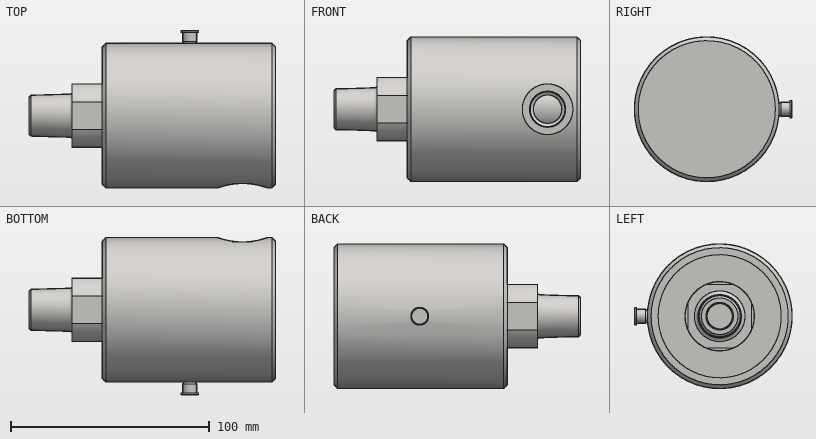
import cadquery as cq
import math

OVERALL_LENGTH = 124.38

BODY_DIAMETER = 73.0
BODY_START = 36.9
BODY_CHAMFER = 1.95

FACE_RECESS_DIAMETER = 62.05
FACE_RECESS_DEPTH = 2.0
CLEARANCE_DIAMETER = 35.0
CLEARANCE_DEPTH = 0.5
RECESS_FLOOR = BODY_START + FACE_RECESS_DEPTH
CLEARANCE_FLOOR = RECESS_FLOOR + CLEARANCE_DEPTH

COLLAR_DIAMETER = 34.8
COLLAR_FLATS = 32.0
COLLAR_START = 21.75

NIPPLE_TIP_DIAMETER = 20.7
NIPPLE_ROOT_DIAMETER = 21.8
NIPPLE_ROOT = 20.0
NIPPLE_CHAMFER_LENGTH = 1.0
NIPPLE_CHAMFER_HEIGHT = 1.15
NECK_FILLET = 2.6
NECK_RELIEF_DIAMETER = 25.5

BORE_DIAMETER = 12.7
BORE_CHAMFER = 0.6

PORT_X = 107.7
SPOTFACE_DIAMETER = 25.5
SPOTFACE_DEPTH = 2.3
PORT_MOUTH_DIAMETER = 18.2
PORT_THREAD_DIAMETER = 17.48
PORT_CORE_DIAMETER = 14.3
PORT_THREAD_LENGTH = 15.0
DRILL_POINT_ANGLE = 120.0
COUNTERSINK_ANGLE = 120.0

PIN_X = 81.1
PIN_TOP = 43.01
PIN_HEAD_DIAMETER = 9.0
PIN_HEAD_THICKNESS = 1.1
PIN_HEAD_CHAMFER = 0.45
PIN_STEM_DIAMETER = 7.14
PIN_STEM_END = 37.4
PIN_FOOT_DIAMETER = 5.0
PIN_FOOT_DEPTH = 1.5

SHAFT_DIAMETER = 25.5


def x_cylinder(diameter, start, end):
    """Cylinder about the X axis between two X positions."""
    return cq.Workplane("YZ", origin=(start, 0, 0)).circle(diameter / 2).extrude(end - start)


def housing():
    """Chamfered cylinder with a stepped recess in its front face."""
    body = x_cylinder(BODY_DIAMETER, BODY_START, OVERALL_LENGTH)
    body = body.faces("<X or >X").chamfer(BODY_CHAMFER)
    recess = x_cylinder(FACE_RECESS_DIAMETER, BODY_START, RECESS_FLOOR)
    clearance = x_cylinder(CLEARANCE_DIAMETER, RECESS_FLOOR, CLEARANCE_FLOOR)
    return body.cut(recess).cut(clearance)


def collar():
    """Round collar whose four flats end level with the recess floor."""
    round_bar = x_cylinder(COLLAR_DIAMETER, COLLAR_START, RECESS_FLOOR)
    square_bar = (
        cq.Workplane("YZ", origin=(COLLAR_START, 0, 0))
        .rect(COLLAR_FLATS, COLLAR_FLATS)
        .extrude(RECESS_FLOOR - COLLAR_START)
    )
    shoulder = x_cylinder(COLLAR_DIAMETER, RECESS_FLOOR, CLEARANCE_FLOOR)
    relief = x_cylinder(NECK_RELIEF_DIAMETER, COLLAR_START, NIPPLE_ROOT + NECK_FILLET)
    return round_bar.intersect(square_bar).union(shoulder).cut(relief)


def nipple():
    """Tapered spigot whose root flares out into the neck relief of the collar."""
    tip_radius = NIPPLE_TIP_DIAMETER / 2
    root_radius = NIPPLE_ROOT_DIAMETER / 2
    relief_floor = NIPPLE_ROOT + NECK_FILLET
    flare_radius = NECK_RELIEF_DIAMETER / 2
    flare_rise = flare_radius - root_radius
    diagonal = math.sqrt(0.5)
    profile = (
        cq.Workplane("XY")
        .moveTo(0, 0)
        .lineTo(0, tip_radius - NIPPLE_CHAMFER_HEIGHT)
        .lineTo(NIPPLE_CHAMFER_LENGTH, tip_radius)
        .lineTo(NIPPLE_ROOT, root_radius)
        .threePointArc(
            (
                NIPPLE_ROOT + NECK_FILLET * diagonal,
                flare_radius - flare_rise * diagonal,
            ),
            (relief_floor, flare_radius),
        )
        .lineTo(relief_floor, 0)
        .close()
    )
    return profile.revolve(360, (0, 0, 0), (1, 0, 0))


def bore():
    """Blind bore with a chamfered mouth, reaching as far as the side port axis."""
    radius = BORE_DIAMETER / 2
    profile = (
        cq.Workplane("XY")
        .moveTo(0, 0)
        .lineTo(0, radius + BORE_CHAMFER)
        .lineTo(BORE_CHAMFER, radius)
        .lineTo(PORT_X, radius)
        .lineTo(PORT_X, 0)
        .close()
    )
    return profile.revolve(360, (0, 0, 0), (1, 0, 0))


def side_port():
    """Spotface and stepped hole that stops on the surface of the rotor shaft."""
    outside = -BODY_DIAMETER / 2
    seat = outside + SPOTFACE_DEPTH
    mouth_width = (PORT_MOUTH_DIAMETER - PORT_THREAD_DIAMETER) / 2
    thread_start = seat + mouth_width / math.tan(math.radians(COUNTERSINK_ANGLE / 2))
    thread_end = thread_start + PORT_THREAD_LENGTH
    step_width = (PORT_THREAD_DIAMETER - PORT_CORE_DIAMETER) / 2
    cone_end = thread_end + step_width / math.tan(math.radians(DRILL_POINT_ANGLE / 2))
    profile = (
        cq.Workplane("XY", origin=(PORT_X, 0, 0))
        .moveTo(0, outside)
        .lineTo(SPOTFACE_DIAMETER / 2, outside)
        .lineTo(SPOTFACE_DIAMETER / 2, seat)
        .lineTo(PORT_MOUTH_DIAMETER / 2, seat)
        .lineTo(PORT_THREAD_DIAMETER / 2, thread_start)
        .lineTo(PORT_THREAD_DIAMETER / 2, thread_end)
        .lineTo(PORT_CORE_DIAMETER / 2, cone_end)
        .lineTo(PORT_CORE_DIAMETER / 2, 0)
        .lineTo(0, 0)
        .close()
    )
    hole = profile.revolve(360, (0, 0, 0), (0, 1, 0))
    return hole.cut(x_cylinder(SHAFT_DIAMETER, BODY_START, OVERALL_LENGTH))


def pin():
    """Headed pin whose conical foot is sunk into the housing."""
    head_radius = PIN_HEAD_DIAMETER / 2
    stem_radius = PIN_STEM_DIAMETER / 2
    profile = (
        cq.Workplane("XY", origin=(PIN_X, 0, 0))
        .moveTo(0, PIN_TOP)
        .lineTo(head_radius - PIN_HEAD_CHAMFER, PIN_TOP)
        .lineTo(head_radius, PIN_TOP - PIN_HEAD_CHAMFER)
        .lineTo(head_radius, PIN_TOP - PIN_HEAD_THICKNESS)
        .lineTo(stem_radius, PIN_TOP - PIN_HEAD_THICKNESS)
        .lineTo(stem_radius, PIN_STEM_END)
        .lineTo(PIN_FOOT_DIAMETER / 2, PIN_STEM_END - PIN_FOOT_DEPTH)
        .lineTo(0, PIN_STEM_END - PIN_FOOT_DEPTH)
        .close()
    )
    return profile.revolve(360, (0, 0, 0), (0, 1, 0))


result = housing().union(collar()).union(nipple()).union(pin())
result = result.cut(bore()).cut(side_port())